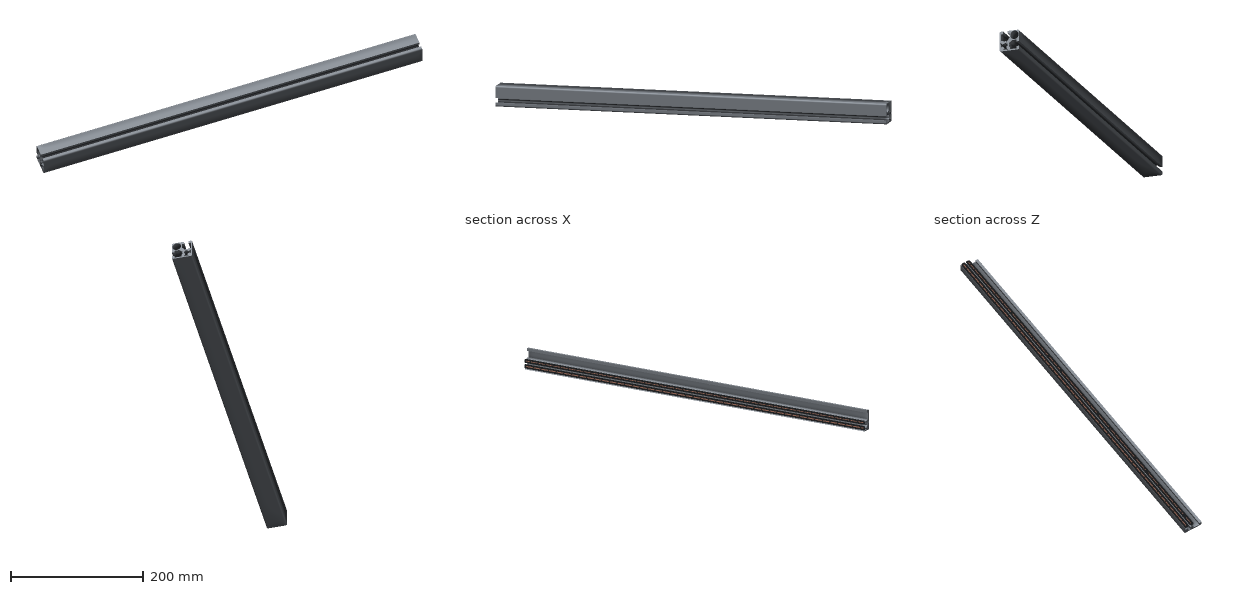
import cadquery as cq

length = 609.5
side = 32.0
half = side / 2
corner_radius = 2.5

bore_radius = 7.0
bore_wall = 0.9
bore_center = -half + bore_wall + bore_radius

mouth_left = 2.75
mouth_width = 7.5
mouth_right = mouth_left + mouth_width
slot_center = mouth_left + mouth_width / 2
lip_depth = 4.0
lip_bottom = half - lip_depth
cavity_inner = -0.3
cavity_wall = 2.15
cavity_outer = half - cavity_wall
cavity_floor = 0.8
inner_bevel = 3.5
scallop_depth = 1.5

core_center = slot_center
arm_half_width = 2.0
arm_inner_reach = 3.5
arm_outer_reach = 7.5
pocket_tip_reach = 9.0
pocket_start = 5.5
pocket_spread = 3.5
corner_relief = 3.0


def extrude_full(outline):
    """Extrude a closed X-Z outline symmetrically through the full length."""
    return outline.extrude(length / 2, both=True)


def mirror_cell(cutter):
    """Swap X and Z about the diagonal from upper left to lower right."""
    return cutter.rotate((0, 0, 0), (0, 1, 0), -90).mirror("XY")


def make_blank():
    body = cq.Workplane("XY").box(side, length, side)
    return body.edges("|Y").fillet(corner_radius)


def make_bore():
    return extrude_full(cq.Workplane("XZ").center(bore_center, -bore_center).circle(bore_radius))


def make_slot():
    """Slot open to +Z, with two shallow scallops side by side in its floor."""
    scallop_bottom = cavity_floor - scallop_depth
    outline = (
        cq.Workplane("XZ")
        .moveTo(mouth_left, half)
        .lineTo(mouth_left, lip_bottom)
        .lineTo(cavity_inner, lip_bottom)
        .lineTo(cavity_inner, cavity_floor + inner_bevel)
        .lineTo(cavity_inner + inner_bevel, cavity_floor)
        .lineTo(mouth_left, cavity_floor)
        .threePointArc(((mouth_left + slot_center) / 2, scallop_bottom), (slot_center, cavity_floor))
        .threePointArc(((mouth_right + slot_center) / 2, scallop_bottom), (mouth_right, cavity_floor))
        .lineTo(cavity_outer, cavity_floor)
        .lineTo(cavity_outer, lip_bottom)
        .lineTo(mouth_right, lip_bottom)
        .lineTo(mouth_right, half)
        .close()
    )
    return extrude_full(outline)


def make_core_arm():
    """Horizontal core arm, flared at its outer end and relieved next to the outer corner."""
    outline = (
        cq.Workplane("XZ")
        .center(core_center, -core_center)
        .polyline(
            [
                (-arm_inner_reach, arm_half_width),
                (-arm_inner_reach, -arm_half_width),
                (arm_half_width, -arm_half_width),
                (corner_relief, -corner_relief),
                (corner_relief + arm_half_width, -arm_half_width),
                (pocket_start, -arm_half_width),
                (arm_outer_reach, -pocket_spread),
                (arm_outer_reach, arm_half_width),
                (pocket_tip_reach, pocket_spread),
                (arm_outer_reach, pocket_spread),
                (pocket_start, arm_half_width),
            ]
        )
        .close()
    )
    return extrude_full(outline)


result = make_blank().cut(make_bore())
for cutter in (make_slot(), make_core_arm()):
    result = result.cut(cutter).cut(mirror_cell(cutter))